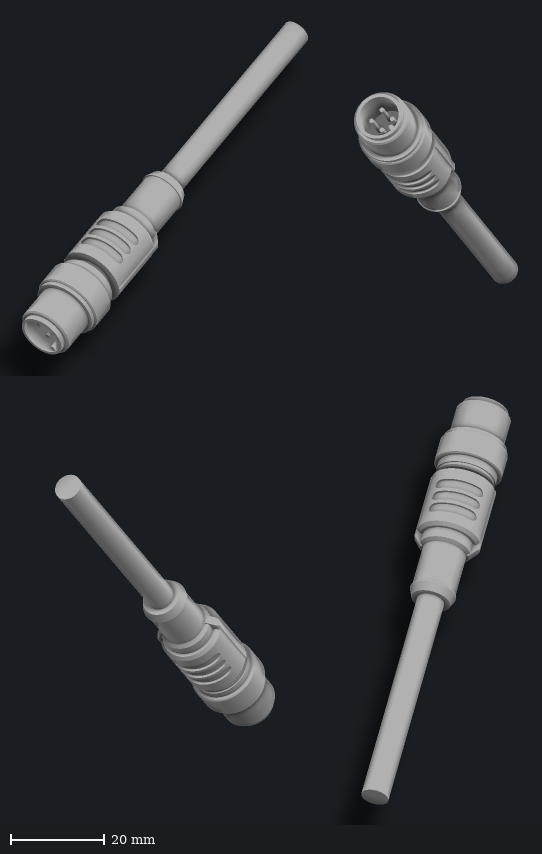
import cadquery as cq


total_length = 98.9
cable_diameter = 6.0
sleeve_end = 48.9
sleeve_diameter = 9.6
lip_diameter = 10.2
lip_front = 46.7
lip_back = 46.95
sleeve_tail_diameter = 8.6

ring_diameter = 11.3
ring_back = 36.0
ring_cone_end = 36.7

grip_diameter = 13.95
grip_front = 19.5
grip_back = 32.9
grip_cone_diameter = 12.7
grip_cone_end = 33.7

rib_span = 14.4
rib_height = 2.0
rib_edge_chamfer = 0.35
rib_back = 34.4
rib_taper_end = 36.7
rib_taper_span = 10.6

groove_width = 2.2
groove_length = 10.5
groove_floor_diameter = 12.8
groove_pitch = 3.0
groove_first_y = 23.35
groove_count = 3

neck_diameter = 9.6
nut_diameter = 14.98
nut_front = 9.95
nut_back = 15.75
nut_chamfer_length = 0.25
nut_chamfer_drop = 0.3
nut_collar_diameter = 14.0
nut_collar_front = 9.0
nut_tail_diameter = 13.15
nut_tail_end = 17.45
nut_rim_diameter = 12.5
nut_rim_end = 18.0
nut_cone_diameter = 11.6
nut_cone_end = 18.35

thread_diameter = 12.05
thread_front = 1.25
thread_chamfer = 0.35
nose_diameter = 10.2

bore_diameter = 8.8
bore_depth = 9.0
pin_diameter = 1.0
pin_offset = 2.3
pin_tip_y = 2.3
pin_collar_diameter = 1.7
pin_collar_height = 0.25

seat_diameter = 7.0
seat_height = 0.5
pin_notch_width = 2.35
key_notch_reach = 2.55
key_notch_corner = 1.8

key_width = 1.0
key_center_radius = 3.65
key_front = 0.3
key_angle = 45


def turned_body():
    """Solid of revolution about the Y axis."""
    nut_edge_diameter = nut_diameter - 2 * nut_chamfer_drop
    stations = [
        (nose_diameter, 0),
        (nose_diameter, thread_front),
        (thread_diameter - 2 * thread_chamfer, thread_front),
        (thread_diameter, thread_front + thread_chamfer),
        (thread_diameter, nut_collar_front),
        (nut_collar_diameter, nut_collar_front),
        (nut_collar_diameter, nut_front),
        (nut_edge_diameter, nut_front),
        (nut_diameter, nut_front + nut_chamfer_length),
        (nut_diameter, nut_back - nut_chamfer_length),
        (nut_edge_diameter, nut_back),
        (nut_tail_diameter, nut_back),
        (nut_tail_diameter, nut_tail_end),
        (nut_rim_diameter, nut_tail_end),
        (nut_rim_diameter, nut_rim_end),
        (nut_cone_diameter, nut_cone_end),
        (neck_diameter, nut_cone_end),
        (neck_diameter, grip_front),
        (grip_diameter, grip_front),
        (grip_diameter, grip_back),
        (grip_cone_diameter, grip_cone_end),
        (ring_diameter, grip_cone_end),
        (ring_diameter, ring_back),
        (sleeve_diameter, ring_cone_end),
        (sleeve_diameter, lip_front),
        (lip_diameter, lip_front),
        (lip_diameter, lip_back),
        (sleeve_tail_diameter, sleeve_end),
        (cable_diameter, sleeve_end),
        (cable_diameter, total_length),
    ]
    profile = [(diameter / 2, y) for diameter, y in stations]
    outline = [(0, 0)] + profile + [(0, total_length)]
    return cq.Workplane("XY").polyline(outline).close().revolve(360, (0, 0, 0), (0, 1, 0))


def side_ribs():
    """Flat bar through the grip whose bevelled edges stand out on both sides."""
    half_span = rib_span / 2
    half_taper = rib_taper_span / 2
    outline = [
        (-half_span, grip_front),
        (half_span, grip_front),
        (half_span, rib_back),
        (half_taper, rib_taper_end),
        (-half_taper, rib_taper_end),
        (-half_span, rib_back),
    ]
    bar = cq.Workplane("XY").polyline(outline).close().extrude(rib_height / 2, both=True)
    return bar.faces("<X or >X").edges("|Y").chamfer(rib_edge_chamfer)


def finger_grooves():
    """Slots around the top and bottom of the grip, with floors concentric to it."""
    spots = [(0, groove_first_y + i * groove_pitch) for i in range(groove_count)]
    slots = (
        cq.Workplane("XY")
        .pushPoints(spots)
        .slot2D(groove_length, groove_width)
        .extrude(grip_diameter, both=True)
    )
    core = cq.Workplane("XZ").circle(groove_floor_diameter / 2).extrude(-total_length)
    return slots.cut(core)


def socket():
    """Round blind bore in the nose."""
    return cq.Workplane("XZ").circle(bore_diameter / 2).extrude(-bore_depth)


def pin_seat():
    """Raised disc on the socket floor, notched around each pin and beside the key."""
    floor = cq.Workplane("XZ", origin=(0, bore_depth, 0))
    seat = floor.circle(seat_diameter / 2).extrude(seat_height)

    pin_notch = (
        floor.center(pin_offset + seat_diameter / 2, 0)
        .slot2D(seat_diameter + pin_notch_width, pin_notch_width)
        .extrude(seat_height)
    )
    for quarter in range(4):
        seat = seat.cut(pin_notch.rotate((0, 0, 0), (0, 1, 0), 90 * quarter))

    key_notch_outline = [
        (key_notch_reach, 0),
        (key_notch_reach, -key_notch_corner),
        (key_notch_corner, -key_notch_reach),
        (0, -key_notch_reach),
        (0, -seat_diameter),
        (seat_diameter, -seat_diameter),
        (seat_diameter, 0),
    ]
    key_notch = floor.polyline(key_notch_outline).close().extrude(seat_height)
    return seat.cut(key_notch)


def pins():
    """Four contact pins, each standing on a low collar on the socket floor."""
    floor = cq.Workplane("XZ", origin=(0, bore_depth, 0)).polarArray(pin_offset, 0, 360, 4)
    collars = floor.circle(pin_collar_diameter / 2).extrude(pin_collar_height)
    shafts = floor.circle(pin_diameter / 2).extrude(bore_depth - pin_tip_y)
    return collars.union(shafts)


def coding_key():
    """Round-nosed rib along the socket wall."""
    key_length = bore_depth - key_front
    root_radius = (bore_diameter + nose_diameter) / 4
    root_depth = root_radius - key_center_radius
    front = cq.Workplane("XZ", origin=(0, key_front, 0))
    nose = front.center(key_center_radius, 0).circle(key_width / 2).extrude(-key_length)
    root = (
        front.center(key_center_radius + root_depth / 2, 0)
        .rect(root_depth, key_width)
        .extrude(-key_length)
    )
    return nose.union(root).rotate((0, 0, 0), (0, 1, 0), key_angle)


outside = turned_body().cut(finger_grooves()).union(side_ribs())
result = outside.cut(socket()).union(pin_seat()).union(pins()).union(coding_key())